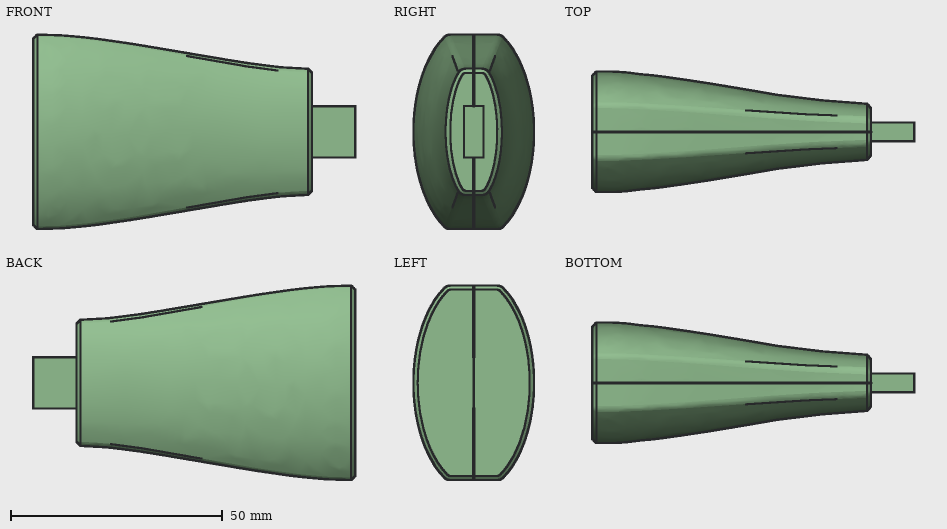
import cadquery as cq
import math

total_length = 76.15
handle_length = 65.95
tongue_length = total_length - handle_length

section_stations = [
    (0.0, 23.0, 14.25),
    (11.05, 22.5, 13.8),
    (22.1, 21.0, 12.3),
    (33.1, 19.2, 10.6),
    (44.2, 17.3, 8.75),
    (52.55, 16.0, 7.7),
    (handle_length, 14.9, 6.55),
]
ellipse_height_ratio = 1.115
corner_fillet = 2.0
end_chamfer = 1.0
split_gap = 0.15

tongue_width = 4.5
tongue_height = 12.2

clearance_size = 2 * total_length


def section_wire(x, half_height, half_width):
    """Ellipse in the YZ plane at x, cut flat at the top and bottom."""
    corner_angle = math.degrees(math.asin(1 / ellipse_height_ratio))
    flat_half_width = half_width * math.cos(math.radians(corner_angle))
    ellipse_half_height = half_height * ellipse_height_ratio

    def side_arc(start_angle, end_angle):
        return cq.Edge.makeEllipse(
            ellipse_half_height,
            half_width,
            cq.Vector(x, 0, 0),
            cq.Vector(1, 0, 0),
            cq.Vector(0, 0, 1),
            start_angle,
            end_angle,
        )

    def flat(z):
        return cq.Edge.makeLine(cq.Vector(x, -flat_half_width, z), cq.Vector(x, flat_half_width, z))

    gap_angle = 90 - corner_angle
    front_arc = side_arc(gap_angle, 180 - gap_angle)
    back_arc = side_arc(180 + gap_angle, 360 - gap_angle)
    return cq.Wire.assembleEdges([front_arc, flat(-half_height), back_arc, flat(half_height)])


def make_handle():
    """Tapered handle with rounded corners and chamfered ends, before it is split."""
    sections = [section_wire(*station) for station in section_stations]
    body = cq.Workplane(cq.Solid.makeLoft(sections))
    corners = body.edges("not(<X or >X)")
    rounded = corners.fillet(corner_fillet)
    return rounded.faces("<X or >X").edges().chamfer(end_chamfer)


def make_handle_half(handle, side):
    """The part of the handle on one side (+1 or -1) of the gap along the XZ plane."""
    half_space = cq.Workplane().box(clearance_size, clearance_size, clearance_size)
    offset = side * (clearance_size + split_gap) / 2
    return handle.intersect(half_space.translate((0, offset, 0)))


def make_tongue():
    """Rectangular tongue standing on the narrow end face of the handle."""
    tongue = cq.Workplane().box(tongue_length, tongue_width, tongue_height)
    return tongue.translate((handle_length + tongue_length / 2, 0, 0))


handle = make_handle()
handle_halves = [make_handle_half(handle, side) for side in (-1, 1)]
tongue = make_tongue()

result = cq.Compound.makeCompound([*[half.val() for half in handle_halves], tongue.val()])